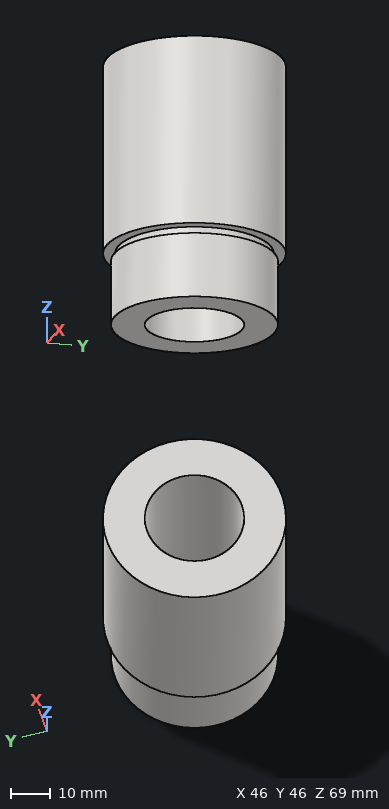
import cadquery as cq

total_length = 69.0
spigot_length = 17.0
groove_width = 2.0
body_length = total_length - spigot_length - groove_width

body_diameter = 46.0
spigot_diameter = 42.0
groove_diameter = 40.0
bore_diameter = 25.0

sleeve = (
    cq.Workplane("XY")
    .circle(spigot_diameter / 2)
    .extrude(spigot_length)
    .faces(">Z")
    .workplane()
    .circle(groove_diameter / 2)
    .extrude(groove_width)
    .faces(">Z")
    .workplane()
    .circle(body_diameter / 2)
    .extrude(body_length)
)

bore = cq.Workplane("XY").circle(bore_diameter / 2).extrude(total_length)

result = sleeve.cut(bore)